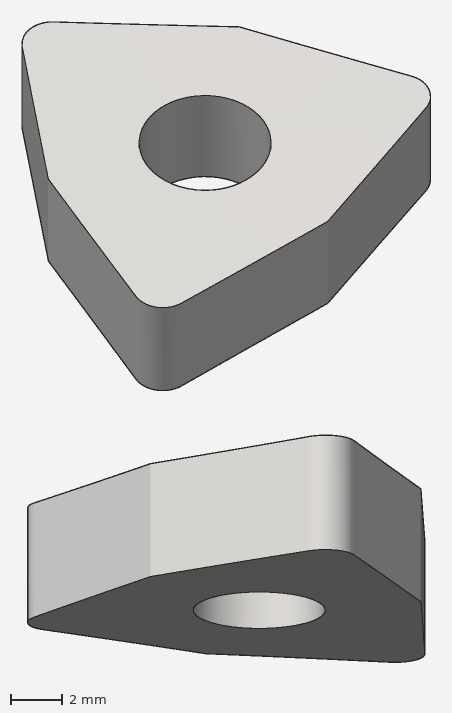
import cadquery as cq
import math

inscribed_diameter = 12.7
nose_thickness = 4.66
hole_diameter = 5.16
nose_radius = 1.2
nose_angle = 80.0
side_vertex_radius = 0.2
dish_drop = 0.03
nose_count = 3
first_nose_direction = 90.0

nose_pitch = 360.0 / nose_count
inscribed_radius = inscribed_diameter / 2
half_nose_angle = math.radians(nose_angle / 2)
edge_tilt = math.radians(nose_pitch / 2 - (90.0 - nose_angle / 2))

sharp_nose_distance = inscribed_radius / math.sin(half_nose_angle)
side_vertex_distance = inscribed_radius / math.cos(edge_tilt)
nose_center_distance = sharp_nose_distance - nose_radius / math.sin(half_nose_angle)
nose_tip_distance = nose_center_distance + nose_radius

dish_radius = (nose_tip_distance**2 - side_vertex_distance**2) / (2 * dish_drop)
dish_center_height = nose_thickness / 2 + math.sqrt(dish_radius**2 - nose_tip_distance**2)
dish_bottom_height = dish_center_height - dish_radius


def polar(distance, degrees):
    angle = math.radians(degrees)
    return (distance * math.cos(angle), distance * math.sin(angle))


def round_corner(body, corner, radius):
    """Fillet the vertical edge that stands at the given XY corner."""
    x, y = corner
    edge = cq.selectors.NearestToPointSelector((x, y, 0))
    return body.edges("|Z").edges(edge).fillet(radius)


def make_trigon():
    noses = []
    side_vertices = []
    outline = []
    for index in range(nose_count):
        direction = first_nose_direction + index * nose_pitch
        noses.append(polar(sharp_nose_distance, direction))
        side_vertices.append(polar(side_vertex_distance, direction + nose_pitch / 2))
        outline += [noses[-1], side_vertices[-1]]

    base = cq.Workplane("XY").workplane(offset=-nose_thickness / 2)
    body = base.polyline(outline).close().extrude(nose_thickness)
    for corner in noses:
        body = round_corner(body, corner, nose_radius)
    for corner in side_vertices:
        body = round_corner(body, corner, side_vertex_radius)
    return body


def make_dish_cutter():
    """Cap of the dish sphere, reaching from the dish bottom to above the body."""
    rim_height = nose_thickness
    rim_distance = math.sqrt(dish_radius**2 - (dish_center_height - rim_height) ** 2)
    middle_distance = rim_distance / 2
    middle_height = dish_center_height - math.sqrt(dish_radius**2 - middle_distance**2)
    return (
        cq.Workplane("XZ")
        .moveTo(0, dish_bottom_height)
        .threePointArc((middle_distance, middle_height), (rim_distance, rim_height))
        .lineTo(0, rim_height)
        .close()
        .revolve(360, (0, 0, 0), (0, 1, 0))
    )


def make_bore():
    base = cq.Workplane("XY").workplane(offset=-nose_thickness)
    return base.circle(hole_diameter / 2).extrude(2 * nose_thickness)


upper_dish = make_dish_cutter()
lower_dish = upper_dish.mirror("XY")
result = make_trigon().cut(upper_dish).cut(lower_dish).cut(make_bore())